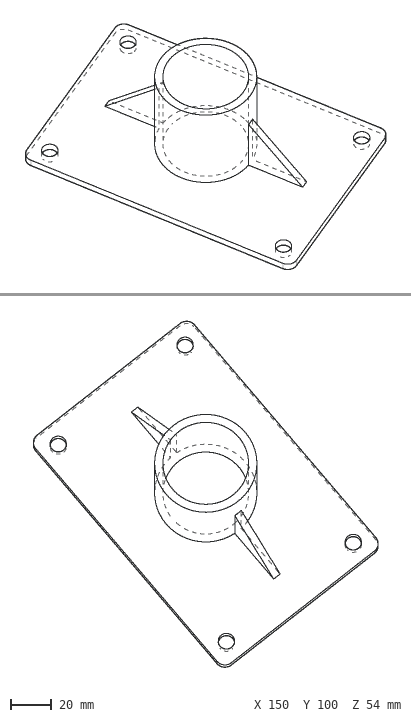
import cadquery as cq

plate_length = 150.0
plate_width = 100.0
plate_thickness = 4.0
corner_radius = 5.0

hole_diameter = 8.0
hole_edge_distance = 10.0
hole_spacing_x = plate_length - 2 * hole_edge_distance
hole_spacing_y = plate_width - 2 * hole_edge_distance

total_height = 54.0
tube_diameter = 50.0
wall_thickness = plate_thickness
tube_height = total_height - plate_thickness
tube_radius = tube_diameter / 2
bore_radius = tube_radius - wall_thickness

gusset_leg = 30.0
gusset_thickness = plate_thickness


def make_plate():
    """Rounded plate with a through hole near each corner."""
    plate = (
        cq.Workplane("XY")
        .box(plate_length, plate_width, plate_thickness, centered=(True, True, False))
        .edges("|Z")
        .fillet(corner_radius)
    )
    return (
        plate.faces(">Z")
        .workplane()
        .rect(hole_spacing_x, hole_spacing_y, forConstruction=True)
        .vertices()
        .hole(hole_diameter)
    )


def make_tube():
    """Open tube whose bore stops at the top of the plate."""
    return (
        cq.Workplane("XY", origin=(0, 0, plate_thickness))
        .circle(tube_radius)
        .circle(bore_radius)
        .extrude(tube_height)
    )


def make_gusset(side):
    """Gusset on the +X (side = 1) or -X (side = -1) side, rooted inside the tube wall."""
    root_x = side * (tube_radius - wall_thickness / 2)
    tube_x = side * tube_radius
    tip_x = side * (tube_radius + gusset_leg)
    top_z = plate_thickness + gusset_leg
    return (
        cq.Workplane("XZ")
        .moveTo(root_x, plate_thickness)
        .lineTo(tip_x, plate_thickness)
        .lineTo(tube_x, top_z)
        .lineTo(root_x, top_z)
        .close()
        .extrude(gusset_thickness / 2, both=True)
    )


result = make_plate().union(make_tube())
for side in (-1, 1):
    result = result.union(make_gusset(side))